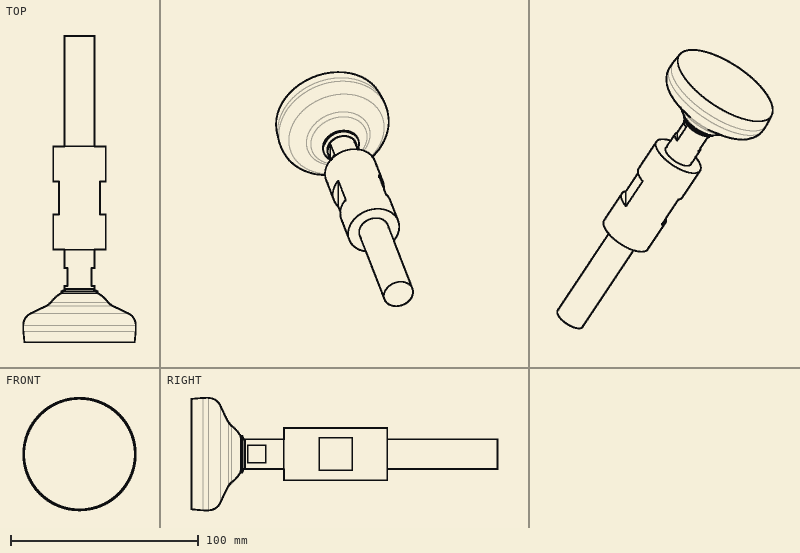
import cadquery as cq
import math


total_length = 163.0

base_radius = 30.0
base_bottom_radius = 29.4
rim_taper_height = 6.0
shoulder_height = 13.5
shoulder_fillet = 7.0
cone_slope = 0.48
dome_radius = 19.2
dome_center_y = 9.7
base_height = 26.2
cone_dome_fillet = 5.5

stud_radius = 8.0
stud_shoulder_y = 28.6
stud_neck_radius = 7.5
stud_neck_y = 28.2
flange_radius = 9.8
flange_edge_y = 27.1
flange_foot_radius = 9.0
stud_flat_width = 13.0
stud_flat_start = 30.0
stud_flat_length = 9.5

sleeve_radius = 14.0
sleeve_start = 49.3
sleeve_length = 55.0
sleeve_flat_width = 22.0
sleeve_flat_length = 17.5


def revolve_about_y(profile):
    """Revolve a closed XY profile a full turn about the Y axis."""
    return profile.close().revolve(360, (0, 0, 0), (0, 1, 0))


def cut_wrench_flats(body, width, body_radius, start, length):
    """Cut two opposite flats, facing -X and +X, a given width apart."""
    depth = body_radius
    for side in (-1, 1):
        cutter = cq.Workplane("XY").box(depth, length, 2 * body_radius)
        offset = (width + depth) / 2
        body = body.cut(cutter.translate((side * offset, start + length / 2, 0)))
    return body


def dome_height(radius):
    """Height of the dome surface at a given radius from the axis."""
    return dome_center_y + math.sqrt(dome_radius**2 - radius**2)


def dome_radius_at(height):
    """Distance of the dome surface from the axis at a given height."""
    return math.sqrt(dome_radius**2 - (height - dome_center_y) ** 2)


def cone_dome_radius():
    """Radius where the cone meets the dome, from the quadratic of line and circle."""
    apex = shoulder_height + cone_slope * base_radius - dome_center_y
    a = 1 + cone_slope**2
    b = -2 * cone_slope * apex
    c = apex**2 - dome_radius**2
    return (-b + math.sqrt(b**2 - 4 * a * c)) / (2 * a)


def make_base():
    joint_radius = cone_dome_radius()
    joint_y = dome_height(joint_radius)
    top_radius = dome_radius_at(base_height)
    mid_radius = (joint_radius + top_radius) / 2
    profile = (
        cq.Workplane("XY")
        .lineTo(base_bottom_radius, 0)
        .lineTo(base_radius, rim_taper_height)
        .lineTo(base_radius, shoulder_height)
        .lineTo(joint_radius, joint_y)
        .threePointArc((mid_radius, dome_height(mid_radius)), (top_radius, base_height))
        .lineTo(0, base_height)
    )
    body = revolve_about_y(profile)
    reach = 0.1
    for edge_y, fillet in ((shoulder_height, shoulder_fillet), (joint_y, cone_dome_fillet)):
        ring_box = cq.selectors.BoxSelector(
            (-base_radius, edge_y - reach, -base_radius),
            (base_radius, edge_y + reach, base_radius),
        )
        body = body.edges("%CIRCLE").edges(ring_box).fillet(fillet)
    return body


def make_stud():
    profile = (
        cq.Workplane("XY")
        .moveTo(0, base_height)
        .lineTo(flange_foot_radius, base_height)
        .lineTo(flange_radius, flange_edge_y)
        .lineTo(stud_neck_radius, stud_neck_y)
        .lineTo(stud_radius, stud_shoulder_y)
        .lineTo(stud_radius, total_length)
        .lineTo(0, total_length)
    )
    body = revolve_about_y(profile)
    return cut_wrench_flats(body, stud_flat_width, stud_radius, stud_flat_start, stud_flat_length)


def make_sleeve():
    sleeve_end = sleeve_start + sleeve_length
    profile = (
        cq.Workplane("XY")
        .moveTo(stud_radius, sleeve_start)
        .lineTo(sleeve_radius, sleeve_start)
        .lineTo(sleeve_radius, sleeve_end)
        .lineTo(stud_radius, sleeve_end)
    )
    body = revolve_about_y(profile)
    flat_start = sleeve_start + (sleeve_length - sleeve_flat_length) / 2
    return cut_wrench_flats(body, sleeve_flat_width, sleeve_radius, flat_start, sleeve_flat_length)


base = make_base()
stud = make_stud()
sleeve = make_sleeve()

result = cq.Compound.makeCompound([base.solids().val(), stud.solids().val(), sleeve.solids().val()])